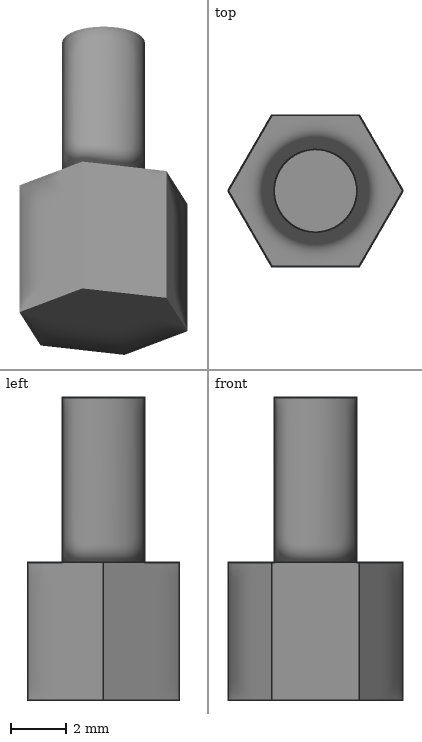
import cadquery as cq
import math

TOTAL_HEIGHT = 11.0
HEX_HEIGHT = 5.0
HEX_ACROSS_FLATS = 5.5
STUD_DIAMETER = 3.0

HEX_ACROSS_CORNERS = HEX_ACROSS_FLATS / math.cos(math.pi / 6)
STUD_LENGTH = TOTAL_HEIGHT - HEX_HEIGHT


def make_hex_body():
    """Hexagonal spacer standing on Z = 0, with two corners on the X axis."""
    return cq.Workplane("XY").polygon(6, HEX_ACROSS_CORNERS).extrude(HEX_HEIGHT)


def make_stud():
    """Plain round stud standing on the top face of the hexagonal spacer."""
    return (
        cq.Workplane("XY", origin=(0, 0, HEX_HEIGHT))
        .circle(STUD_DIAMETER / 2)
        .extrude(STUD_LENGTH)
    )


hex_body = make_hex_body()
stud = make_stud()

result = cq.Compound.makeCompound([hex_body.val(), stud.val()])